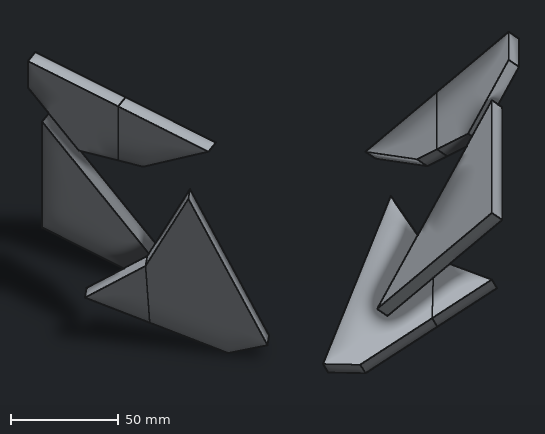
import cadquery as cq
import math

thickness = 6.5

long_side = 100.0
short_side = 20.0
near_slope_run = 28.3
far_slope_run = 36.1
near_corner = (near_slope_run, short_side + near_slope_run)
far_corner = (long_side - far_slope_run, far_slope_run)

split_x = long_side / 2
split_fraction = (split_x - near_corner[0]) / (far_corner[0] - near_corner[0])
split_y = near_corner[1] + split_fraction * (far_corner[1] - near_corner[1])

half_base_run = (far_corner[0] - near_corner[0] + far_corner[1] - near_corner[1]) / 2
triangle_tip = (near_corner[0] + 2 * half_base_run, near_corner[1] + 2 * half_base_run)

triangle_leg = 80.0
triangle_left = 2.7
triangle_front = 1.6
triangle_bottom = -132.5

tilted_corner = (132.1, -5.7, -124.9)
tilted_turn = 25.7
tilted_rise = 6.4
tilted_lean = 22.6


def plate(plane, outline, depth):
    """Extrude a closed outline by depth along the plane's normal."""
    return cq.Workplane(plane).polyline(outline).close().extrude(depth)


def make_hanging_left(plane):
    outline = [(0, 0), (split_x, 0), (split_x, split_y), near_corner, (0, short_side)]
    return plate(plane, outline, thickness)


def make_hanging_right(plane):
    outline = [(split_x, 0), (long_side, 0), far_corner, (split_x, split_y)]
    return plate(plane, outline, thickness)


def make_upright_triangle():
    plane = cq.Plane(
        origin=(triangle_left, triangle_front + thickness, triangle_bottom),
        xDir=(1, 0, 0),
        normal=(0, -1, 0),
    )
    return plate(plane, [(0, 0), (triangle_leg, 0), (0, triangle_leg)], thickness)


def make_tilted_plane():
    turn = math.radians(tilted_turn)
    rise = math.radians(tilted_rise)
    level = cq.Vector(math.cos(turn), math.sin(turn), 0)
    normal = cq.Vector(
        math.sin(turn) * math.cos(rise),
        -math.cos(turn) * math.cos(rise),
        math.sin(rise),
    )
    face = cq.Plane(origin=tilted_corner, xDir=level, normal=normal)
    return face.rotated((0, 0, 90 + tilted_lean))


def make_tilted_large(plane):
    outline = [(0, 0), (long_side, 0), far_corner, near_corner, (0, short_side)]
    return plate(plane, outline, -thickness)


def make_tilted_small(plane):
    return plate(plane, [near_corner, far_corner, triangle_tip], -thickness)


hanging_plane = cq.Plane(origin=(0, -thickness, 0), xDir=(1, 0, 0), normal=(0, 1, 0))
tilted_plane = make_tilted_plane()

hanging_left = make_hanging_left(hanging_plane)
hanging_right = make_hanging_right(hanging_plane)
upright_triangle = make_upright_triangle()
tilted_large = make_tilted_large(tilted_plane)
tilted_small = make_tilted_small(tilted_plane)

result = cq.Compound.makeCompound([
    hanging_left.val(),
    hanging_right.val(),
    upright_triangle.val(),
    tilted_large.val(),
    tilted_small.val(),
])